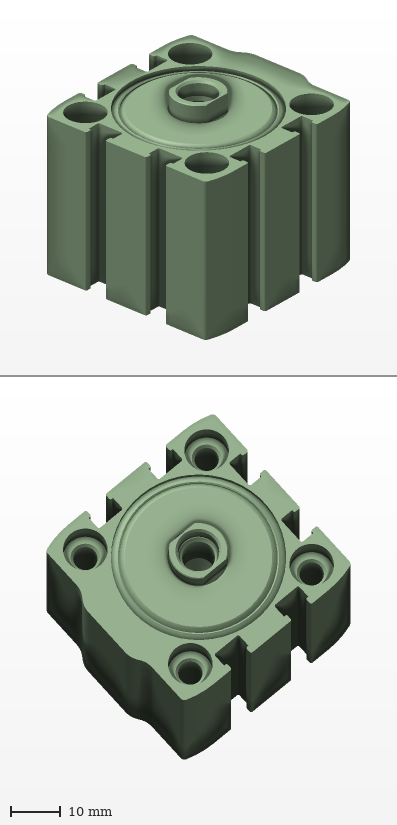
import cadquery as cq
import math

half_width = 22.5
body_height = 36.5
corner_fillet = 1.0
flank_radius = 20.0
flank_start = 15.4

pad_rise = 2.0
pad_half_width = 5.7
pad_blend_radius = 5.0

slot_offset = 8.0
slot_mouth = 5.1
slot_width = 6.5
slot_depth = 4.7
lip_thickness = 1.6
slot_fillet = 0.4

hole_offset = 16.2
hole_diameter = 4.92
hole_sink_diameter = 6.0
counterbore_diameter = 9.0
counterbore_depth = 5.0

outer_groove_radius = 35.4 / 2
cover_bore_radius = 32.0 / 2
ridge_radius = 16.3
ridge_drop = 0.35
ridge_chamfer_depth = 0.2
lip_radius = 15.15
cover_face_radius = 14.9
outer_groove_slope = math.radians(30)
inner_groove_slope = math.radians(39)
lip_slope = math.radians(30)

rod_diameter = 12.0
rod_projection = 4.0
rod_embedment = 26.5
rod_edge_chamfer = 0.2
rod_hole_sink = 0.25
flat_across = 10.0
flat_end_depth = 0.5
flat_ramp_slope = math.radians(30)
thread_entry_diameter = 9.3
thread_entry_depth = 0.5
thread_relief_diameter = 8.4
thread_relief_depth = 3.4
thread_sink_diameter = 8.0
thread_core_diameter = 6.65
thread_core_end = 14.0
drill_half_angle = math.radians(60)

rod_radius = rod_diameter / 2
rod_top = body_height + rod_projection


def revolve_profile(points):
    """Solid of revolution about Z from (radius, z) points."""
    return cq.Workplane("XZ").polyline(points).close().revolve(360, (0, 0, 0), (0, 1, 0))


def flank_inset(distance):
    """How far a side has drawn in at this distance from the middle."""
    run = distance - flank_start
    return flank_radius - math.sqrt(flank_radius**2 - run**2)


def body_block():
    mid = (flank_start + half_width) / 2
    edge = half_width - flank_inset(half_width)
    bulge = half_width - flank_inset(mid)
    block = (
        cq.Workplane("XY")
        .moveTo(-edge, -half_width)
        .lineTo(edge, -half_width)
        .threePointArc((bulge, -mid), (half_width, -flank_start))
        .lineTo(half_width, flank_start)
        .threePointArc((bulge, mid), (edge, half_width))
        .lineTo(-edge, half_width)
        .threePointArc((-bulge, mid), (-half_width, flank_start))
        .lineTo(-half_width, -flank_start)
        .threePointArc((-bulge, -mid), (-edge, -half_width))
        .close()
        .extrude(body_height)
    )
    for corner_pair in (">Y", "<Y"):
        block = block.edges("|Z").edges(corner_pair).fillet(corner_fillet)
    return block


def pad():
    top = half_width + pad_rise
    blend_run = math.sqrt(pad_rise * (4 * pad_blend_radius - pad_rise))
    foot = pad_half_width + blend_run
    middle = pad_half_width + blend_run / 2
    middle_y = half_width + pad_rise / 2
    return (
        cq.Workplane("XY")
        .moveTo(0, top)
        .lineTo(pad_half_width, top)
        .tangentArcPoint((middle, middle_y), relative=False)
        .tangentArcPoint((foot, half_width), relative=False)
        .lineTo(foot, 0)
        .lineTo(0, 0)
        .mirrorY()
        .extrude(body_height)
    )


def quarter_bulge(start, end, corner_center):
    """Middle point of a quarter arc of radius slot_fillet about corner_center."""
    reach = slot_fillet / math.sqrt(2)
    u = math.copysign(reach, start[0] + end[0] - 2 * corner_center[0])
    v = math.copysign(reach, start[1] + end[1] - 2 * corner_center[1])
    return (corner_center[0] + u, corner_center[1] + v)


def slot_cutter():
    """T-slot opening on the -Y side, centred on X = 0."""
    mouth = slot_mouth / 2
    wall = slot_width / 2
    r = slot_fillet
    opening = -half_width
    lip = opening + lip_thickness
    floor = opening + slot_depth
    outer_arc = ((mouth + r, opening), (mouth, opening + r), (mouth + r, opening + r))
    inner_arc = ((mouth, lip - r), (mouth + r, lip), (mouth + r, lip - r))
    floor_arc = ((wall, floor - r), (wall - r, floor), (wall - r, floor - r))
    profile = cq.Workplane("XY").moveTo(0, opening)
    profile = profile.lineTo(*outer_arc[0]).threePointArc(quarter_bulge(*outer_arc), outer_arc[1])
    profile = profile.lineTo(*inner_arc[0]).threePointArc(quarter_bulge(*inner_arc), inner_arc[1])
    profile = profile.lineTo(wall, lip)
    profile = profile.lineTo(*floor_arc[0]).threePointArc(quarter_bulge(*floor_arc), floor_arc[1])
    return profile.lineTo(0, floor).mirrorY().extrude(body_height)


def cut_slots(body):
    cutter = slot_cutter()
    for side_angle in (-90, 0, 90):
        for offset in (-slot_offset, slot_offset):
            placed = cutter.translate((offset, 0, 0)).rotate((0, 0, 0), (0, 0, 1), side_angle)
            body = body.cut(placed)
    return body


def cut_mounting_holes(body):
    """Counterbored through holes, countersunk at the counterbore floor."""
    bore = hole_diameter / 2
    sink = hole_sink_diameter / 2
    head = counterbore_diameter / 2
    seat = body_height - counterbore_depth
    cutter = revolve_profile([
        (0, 0),
        (bore, 0),
        (bore, seat - (sink - bore)),
        (sink, seat),
        (head, seat),
        (head, body_height),
        (0, body_height),
    ])
    for x in (-hole_offset, hole_offset):
        for y in (-hole_offset, hole_offset):
            body = body.cut(cutter.translate((x, y, 0)))
    return body


def cut_cover_rings(body):
    """Two grooves round the end cover, parted by a narrow ridge."""
    crest = body_height - ridge_drop
    outer_bottom = crest - (outer_groove_radius - ridge_radius) * math.tan(outer_groove_slope)
    lip_edge = body_height - (lip_radius - cover_face_radius) * math.tan(lip_slope)
    inner_bottom = lip_edge - (cover_bore_radius - lip_radius) * math.tan(inner_groove_slope)
    cutter = revolve_profile([
        (cover_face_radius, body_height),
        (lip_radius, lip_edge),
        (cover_bore_radius, inner_bottom),
        (cover_bore_radius, crest - ridge_chamfer_depth),
        (ridge_radius, crest),
        (outer_groove_radius, outer_bottom),
        (outer_groove_radius, body_height),
    ])
    return body.cut(cutter)


def cut_rod_hole(body):
    mouth = rod_radius + rod_hole_sink
    cutter = revolve_profile([
        (0, body_height - rod_embedment),
        (rod_radius, body_height - rod_embedment),
        (rod_radius, body_height - rod_hole_sink),
        (mouth, body_height),
        (0, body_height),
    ])
    return body.cut(cutter)


def make_housing():
    body = body_block().union(pad())
    body = cut_slots(body)
    body = cut_mounting_holes(body)
    body = cut_cover_rings(body)
    return cut_rod_hole(body)


def thread_hole():
    entry = thread_entry_diameter / 2
    relief = thread_relief_diameter / 2
    sink = thread_sink_diameter / 2
    core = thread_core_diameter / 2
    relief_end = rod_top - thread_relief_depth
    core_start = relief_end - (sink - core)
    core_end = rod_top - thread_core_end
    return revolve_profile([
        (0, rod_top),
        (entry, rod_top),
        (relief, rod_top - thread_entry_depth),
        (relief, relief_end),
        (sink, relief_end),
        (core, core_start),
        (core, core_end),
        (0, core_end - core / math.tan(drill_half_angle)),
    ])


def flat_cutter():
    """Wrench flat on the +X side, running out through a sloping ramp."""
    face = flat_across / 2
    ramp_start = body_height - flat_end_depth
    ramp_end = ramp_start - (rod_radius - face) * math.tan(flat_ramp_slope)
    return (
        cq.Workplane("XZ")
        .moveTo(face, rod_top)
        .lineTo(face, ramp_start)
        .lineTo(rod_radius, ramp_end)
        .lineTo(rod_radius, rod_top)
        .close()
        .extrude(rod_radius, both=True)
    )


def make_rod():
    rod = (
        cq.Workplane("XY")
        .workplane(offset=body_height - rod_embedment)
        .circle(rod_radius)
        .extrude(rod_embedment + rod_projection)
        .faces(">Z")
        .chamfer(rod_edge_chamfer)
    )
    flat = flat_cutter()
    rod = rod.cut(flat).cut(flat.mirror("YZ"))
    return rod.cut(thread_hole())


housing = make_housing()
rod = make_rod()

result = cq.Compound.makeCompound([housing.val(), rod.val()])